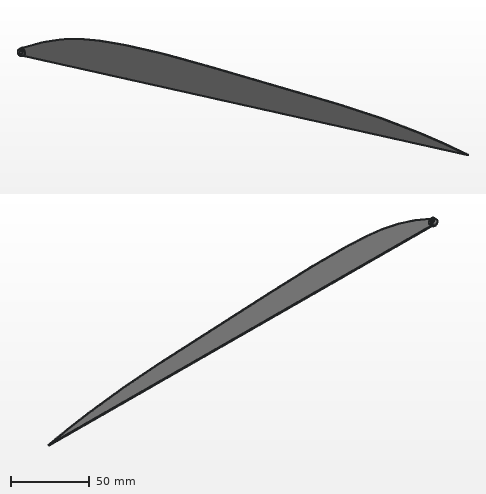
import cadquery as cq

length = 332.5
height = 23.3
pivot_width = 3.0
blade_thickness = 0.83

pivot_diameter = 5.0
pivot_hole_diameter = 2.0
pivot_radius = pivot_diameter / 2

root = (1.3, 4.5)
crest = (89.8, height)
upper_edge = [
    root,
    (21.0, 13.5),
    (38.0, 19.0),
    (60.0, 22.3),
    crest,
    (118.7, 22.5),
    (166.0, 19.5),
    (225.8, 16.0),
    (269.0, 12.0),
    (308.0, 5.5),
    (length, 0.0),
]


def y_cylinder(diameter):
    """Cylinder across the pivot width, centred on the pivot axis."""
    return (
        cq.Workplane("XZ", origin=(pivot_radius, 0, pivot_radius))
        .circle(diameter / 2)
        .extrude(pivot_width / 2, both=True)
    )


blade = (
    cq.Workplane("XZ")
    .moveTo(pivot_radius, 0)
    .lineTo(pivot_radius, pivot_radius)
    .lineTo(*root)
    .spline(upper_edge[1:], includeCurrent=True)
    .close()
    .extrude(blade_thickness / 2, both=True)
)

result = blade.union(y_cylinder(pivot_diameter)).cut(y_cylinder(pivot_hole_diameter))